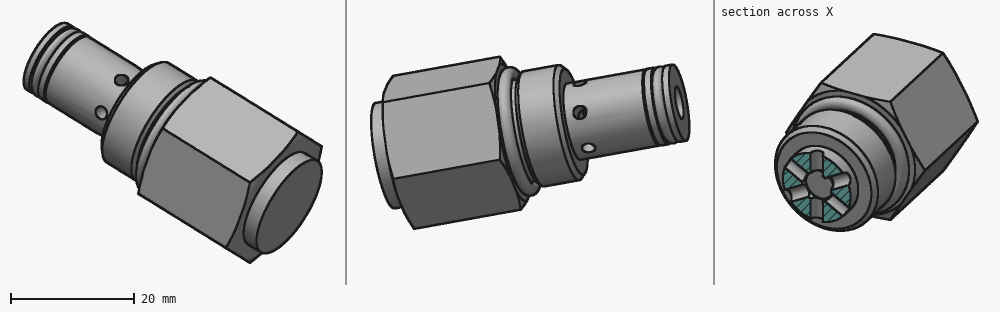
import cadquery as cq
import math

total_length = 49.55
groove_start = 1.15
groove_end = 4.5
cross_hole_x = 15.25
collar_start = 17.8
collar_end = 25.15
hex_start = 27.95
hex_end = 46.9

cage_diameter = 12.65
cage_bore_diameter = 5.3
groove_floor_diameter = 10.1
cross_hole_diameter = 2.2
cross_hole_count = 6

piston_start = cross_hole_x + cross_hole_diameter / 2
piston_chamfer = 0.1

seal_diameter = 12.75
backup_ring_start = 3.0
backup_ring_end = 4.2
nose_ring_section = 1.8

collar_diameter = 19.05
collar_front_chamfer = 0.8
collar_rear_chamfer = 0.65
neck_diameter = 16.8
boss_diameter = 17.5
hex_across_flats = 22.25
hex_across_corners = hex_across_flats / math.cos(math.pi / 6)
hex_face_diameter = 22.6
hex_front_chamfer_length = 0.55
hex_rear_chamfer_length = 0.5

face_ring_section = 2.2
face_ring_mean_diameter = 19.05


def cylinder(diameter, start, end):
    """Cylinder on the X axis from start to end."""
    return cq.Workplane("YZ").workplane(offset=start).circle(diameter / 2).extrude(end - start)


def tube(outer_diameter, inner_diameter, start, end):
    """Plain ring on the X axis from start to end."""
    return cylinder(outer_diameter, start, end).cut(cylinder(inner_diameter, start, end))


def round_ring(mean_diameter, section, center_x):
    """Ring of circular section around the X axis."""
    return (
        cq.Workplane("XY")
        .center(center_x, mean_diameter / 2)
        .circle(section / 2)
        .revolve(360, (0, -mean_diameter / 2), (1, -mean_diameter / 2))
    )


def make_cage():
    """Bored nose tube with a seal groove and a ring of radial holes."""
    cage = tube(cage_diameter, cage_bore_diameter, 0, collar_start)
    cage = cage.cut(tube(cage_diameter, groove_floor_diameter, groove_start, groove_end))
    radial_hole = (
        cq.Workplane("XY")
        .center(cross_hole_x, 0)
        .circle(cross_hole_diameter / 2)
        .extrude(cage_diameter)
    )
    for index in range(cross_hole_count):
        angle = index * 360 / cross_hole_count
        cage = cage.cut(radial_hole.rotate((0, 0, 0), (1, 0, 0), angle))
    return cage


def make_piston():
    """Plain piston with a lightly broken front edge, fitting the cage bore."""
    piston = cylinder(cage_bore_diameter, piston_start, collar_start)
    return piston.faces("<X").chamfer(piston_chamfer)


def make_nose_ring():
    """O-ring filling the front of the groove, flattened where it sits on the groove floor."""
    mean_diameter = seal_diameter - nose_ring_section
    center_x = backup_ring_start - nose_ring_section / 2
    ring = round_ring(mean_diameter, nose_ring_section, center_x)
    return ring.cut(cylinder(groove_floor_diameter, groove_start, groove_end))


def make_backup_ring():
    """Flat ring behind the nose O-ring."""
    return tube(seal_diameter, groove_floor_diameter, backup_ring_start, backup_ring_end)


def make_hexagon():
    """Hexagon with two flats facing up and down and turned chamfers at both ends."""
    hexagon = (
        cq.Workplane("YZ")
        .workplane(offset=hex_start)
        .polygon(6, hex_across_corners)
        .extrude(hex_end - hex_start)
    )
    face_radius = hex_face_diameter / 2
    corner_radius = hex_across_corners / 2
    turned_envelope = (
        cq.Workplane("XY")
        .polyline([
            (hex_start, 0),
            (hex_start, face_radius),
            (hex_start + hex_front_chamfer_length, corner_radius),
            (hex_end - hex_rear_chamfer_length, corner_radius),
            (hex_end, face_radius),
            (hex_end, 0),
        ])
        .close()
        .revolve(360, (0, 0), (1, 0))
    )
    return hexagon.intersect(turned_envelope)


def make_housing():
    """Hexagon with a chamfered collar on a reduced neck in front and a boss behind."""
    collar = (
        cylinder(collar_diameter, collar_start, collar_end)
        .faces("<X").chamfer(collar_front_chamfer)
        .faces(">X").chamfer(collar_rear_chamfer)
    )
    neck = cylinder(neck_diameter, collar_end, hex_start)
    boss = cylinder(boss_diameter, hex_end, total_length)
    return make_hexagon().union(neck).union(collar).union(boss)


def make_face_ring():
    """O-ring around the neck, touching the front face of the hexagon."""
    return round_ring(face_ring_mean_diameter, face_ring_section, hex_start - face_ring_section / 2)


cage = make_cage()
piston = make_piston()
nose_ring = make_nose_ring()
backup_ring = make_backup_ring()
housing = make_housing()
face_ring = make_face_ring()

result = cq.Compound.makeCompound([
    cage.val(),
    piston.val(),
    nose_ring.val(),
    backup_ring.val(),
    housing.val(),
    face_ring.val(),
])